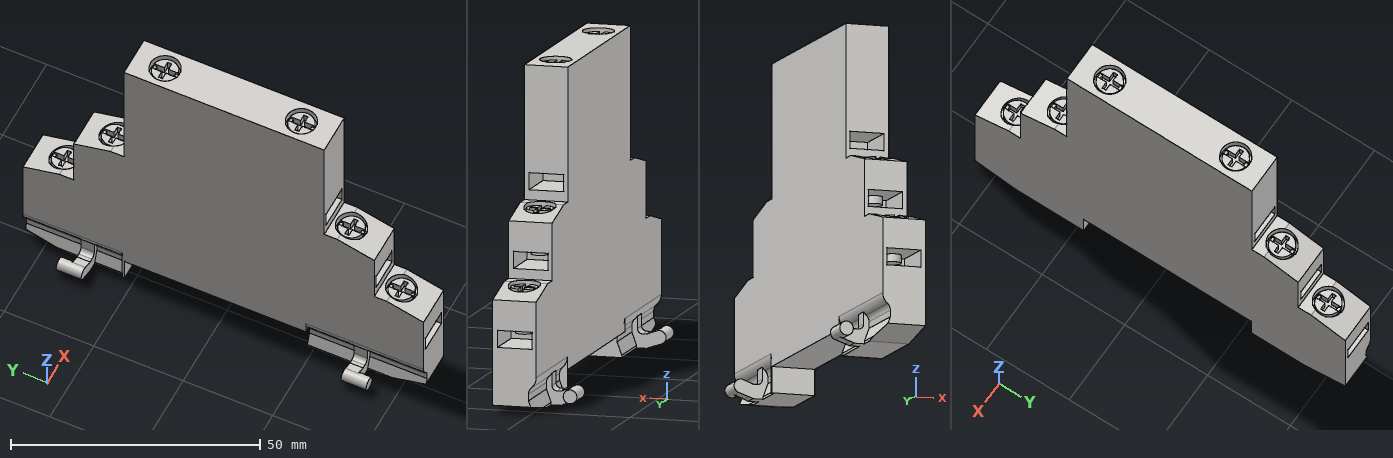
import cadquery as cq
import math

length = 89.6
half_length = length / 2
thickness = 9.1
height = 67.3

core_shift = -0.2
tier_run = 11.2
tier_tops = [25.7, 39.7]
ramp_run = 8.2
ramp_angle = 15.0
ramp_drop = ramp_run * math.tan(math.radians(ramp_angle))

belly_z = 5.4
foot_inner_front = -18.5
foot_inner_back = 22.0
toe_start = 34.85
toe_rise = 1.9

groove_back_start = 22.6
groove_top = 8.1
groove_depth = 1.6
groove_bend_z = 5.9
groove_flat_top = 4.6
groove_flat_bottom = 3.2
lip_inset = 0.6
lip_height = 0.5
cutter_margin = 0.9

hook_inner_y = 29.0
hook_arm_width = 3.0
hook_pin_length = 5.6
pin_radius = 1.4
pin_x = -4.1
pin_z = 2.4
arm_top_z = 3.0
arm_bend_x = -1.4
arm_fillet = 1.1
arm_inset = 0.45
arm_bottom_x = -1.5
arm_knee = (-2.4, 0.4)

screw_inset = 7.2
screw_x = thickness / 2
well_radius = 3.2
well_depth = 1.8
head_radius = 2.8
head_recess = 0.67
slot_width = 1.1
slot_depth = 0.5
cross_length = 4.1
cross_width = 0.9
cross_depth = 1.7
shank_radius = 1.8
shank_overhang = 1.6
entry_x = 4.5
entry_width = 7.3
entry_height = 3.5
entry_depth = 9.9
entry_drop = 11.9
top_entry_floor = 41.75

tiers = [
    (tier_tops[0], tier_tops[0] - entry_drop),
    (tier_tops[1], tier_tops[1] - entry_drop),
    (height, top_entry_floor),
]


def tier_face_y(side, level):
    """Y of a tier's end face; level 0 is the lowest tier."""
    shift = core_shift if level > 0 else 0
    return side * (half_length - level * tier_run) + shift


def box(x_range, y_range, z_range):
    """Axis-aligned box from its lower and upper limits."""
    sizes = [high - low for low, high in (x_range, y_range, z_range)]
    return cq.Workplane("XY").box(*sizes, centered=False).translate((x_range[0], y_range[0], z_range[0]))


def side_outline(side):
    """Outline of one half, from its toe up to the top edge."""
    points = [(side * toe_start, 0), (side * half_length, toe_rise)]
    for level, top in enumerate(tier_tops):
        face_y = tier_face_y(side, level)
        points += [
            (face_y, top - ramp_drop),
            (face_y - side * ramp_run, top),
            (tier_face_y(side, level + 1), top),
        ]
    return points + [(tier_face_y(side, len(tier_tops)), height)]


def make_housing():
    belly = [
        (foot_inner_front, 0),
        (foot_inner_front, belly_z),
        (foot_inner_back, belly_z),
        (foot_inner_back, 0),
    ]
    outline = belly + side_outline(1) + side_outline(-1)[::-1]
    return cq.Workplane("YZ").polyline(outline).close().extrude(thickness)


def make_groove(y_low, y_high):
    """Cutter for the S-curved hollow and the lip beneath it."""
    bend_share = (groove_top - groove_bend_z) / (groove_top - groove_flat_top)
    return (
        cq.Workplane("XZ", origin=(0, y_high, 0))
        .moveTo(-cutter_margin, groove_top + cutter_margin)
        .lineTo(0, groove_top + cutter_margin)
        .lineTo(0, groove_top)
        .tangentArcPoint((groove_depth * bend_share, groove_bend_z), relative=False)
        .tangentArcPoint((groove_depth, groove_flat_top), relative=False)
        .lineTo(groove_depth, groove_flat_bottom)
        .lineTo(lip_inset, lip_height)
        .lineTo(lip_inset, 0)
        .lineTo(-cutter_margin, 0)
        .close()
        .extrude(y_high - y_low)
    )


def pin_tangent_point(x, z, turn):
    """Point where the line from (x, z) touches the pin; turn picks the side."""
    distance = math.hypot(x - pin_x, z - pin_z)
    angle = math.atan2(z - pin_z, x - pin_x) + turn * math.acos(pin_radius / distance)
    return (pin_x + pin_radius * math.cos(angle), pin_z + pin_radius * math.sin(angle))


def make_hook(side):
    arm_start = min(side * hook_inner_y, side * (hook_inner_y + hook_arm_width))
    pin_start = min(side * hook_inner_y, side * (hook_inner_y + hook_pin_length))
    arm = (
        cq.Workplane("XZ", origin=(0, arm_start + hook_arm_width, 0))
        .moveTo(pin_x, pin_z)
        .lineTo(*pin_tangent_point(arm_bend_x, arm_top_z, 1))
        .lineTo(arm_bend_x, arm_top_z)
        .lineTo(arm_inset - arm_fillet, arm_top_z)
        .tangentArcPoint((arm_inset, arm_top_z + arm_fillet), relative=False)
        .lineTo(arm_inset, groove_top)
        .lineTo(groove_depth, groove_top)
        .lineTo(groove_depth, lip_height)
        .lineTo(lip_inset, 0)
        .lineTo(arm_bottom_x, 0)
        .lineTo(*arm_knee)
        .lineTo(*pin_tangent_point(*arm_knee, -1))
        .close()
        .extrude(hook_arm_width)
    )
    pin = (
        cq.Workplane("XZ", origin=(pin_x, pin_start + hook_pin_length, pin_z))
        .circle(pin_radius)
        .extrude(hook_pin_length)
    )
    return arm.union(pin)


def add_terminal(body, side, level):
    """Wire entry, screw well and slotted cross-head screw of one terminal."""
    top, entry_floor = tiers[level]
    face_y = tier_face_y(side, level)
    screw_y = side * (half_length - level * tier_run - screw_inset)
    head_z = top - head_recess
    entry_top = entry_floor + entry_height

    entry = box(
        (entry_x - entry_width / 2, entry_x + entry_width / 2),
        sorted((face_y, face_y - side * entry_depth)),
        (entry_floor, entry_top),
    )

    def cylinder(radius, z_low, z_high):
        return cq.Workplane("XY", origin=(screw_x, screw_y, z_low)).circle(radius).extrude(z_high - z_low)

    def recess(x_size, y_size, depth):
        return cq.Workplane("XY", origin=(screw_x, screw_y, head_z - depth)).rect(x_size, y_size).extrude(depth)

    body = body.cut(entry).cut(cylinder(well_radius, top - well_depth, top))
    body = body.union(cylinder(head_radius, top - well_depth, head_z))
    if top < height:
        body = body.union(cylinder(shank_radius, entry_top - shank_overhang, entry_top))
    return (
        body.cut(recess(slot_width, 2 * head_radius, slot_depth))
        .cut(recess(slot_width, cross_length, cross_depth))
        .cut(recess(cross_length, cross_width, cross_depth))
    )


result = make_housing()
result = result.cut(make_groove(groove_back_start, half_length))
result = result.cut(make_groove(-half_length, foot_inner_front))
for side in (-1, 1):
    result = result.union(make_hook(side))
    for level in range(len(tiers)):
        result = add_terminal(result, side, level)